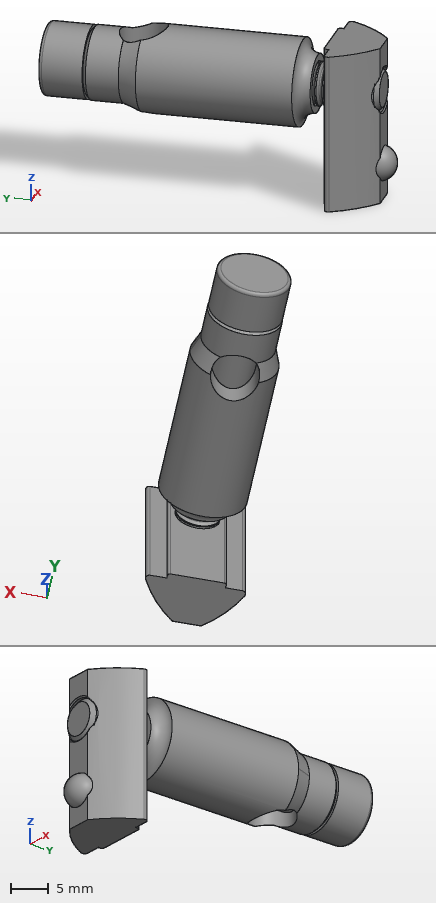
import cadquery as cq
import math

length = 47.8
nut_face_y = 1.8
cross_hole_y = 34.6

screw_z = 4.45
shank_radius = 3.0
tip_chamfer = 0.6
head_radius = 5.0
head_height = 6.0
head_round = 0.5
head_seat_y = length - head_height

thread_pitch = 1.0
thread_crest = 0.2
thread_half_angle = 30.0
thread_root_round = 0.15
groove_count = 3
first_groove_y = 8.9

sleeve_radius = 6.0
sleeve_face_y = 12.85
neck_radius = 5.05
neck_chamfer = 0.5
neck_start_y = 36.8
cone_start_y = 34.2
collar_radius = 4.0
cross_hole_radius = 3.25

nut_width = 13.5
nut_height = 22.0
nut_depth = 7.2
rib_width = 7.95
rib_height = 0.7
rib_round = 0.35
wing_round = 0.53
wing_round_middle = 45.0
wing_round_end = 25.0
front_face_width = 3.85
flank_bulge = 0.45
countersink_radius = 3.2

ball_radius = 2.5
ball_z = -5.95


def turned(profile):
    """Revolve an (R, Y) profile about the screw axis."""
    return profile.close().revolve(360, (0, 0, 0), (0, 1, 0)).translate((0, 0, screw_z))


def thread_groove(y):
    """V-shaped ring with a rounded root that cuts one thread groove centred at y."""
    half_width = (thread_pitch - thread_crest) / 2
    angle = math.radians(thread_half_angle)
    sharp_root_radius = shank_radius - half_width / math.tan(angle)
    arc_centre_radius = sharp_root_radius + thread_root_round / math.sin(angle)
    tangent_radius = arc_centre_radius - thread_root_round * math.sin(angle)
    tangent_offset = thread_root_round * math.cos(angle)
    profile = (
        cq.Workplane("XY")
        .moveTo(shank_radius, y - half_width)
        .lineTo(tangent_radius, y - tangent_offset)
        .threePointArc((arc_centre_radius - thread_root_round, y), (tangent_radius, y + tangent_offset))
        .lineTo(shank_radius, y + half_width)
    )
    return turned(profile)


def make_screw():
    profile = (
        cq.Workplane("XY")
        .moveTo(0, nut_face_y)
        .lineTo(shank_radius - tip_chamfer, nut_face_y)
        .lineTo(shank_radius, nut_face_y + tip_chamfer)
        .lineTo(shank_radius, head_seat_y)
        .lineTo(head_radius, head_seat_y)
        .lineTo(head_radius, length)
        .lineTo(0, length)
    )
    body = turned(profile).faces(">Y").edges().fillet(head_round)
    for i in range(groove_count):
        body = body.cut(thread_groove(first_groove_y + i * thread_pitch))
    return body


def make_sleeve():
    flare_radius = sleeve_radius - collar_radius
    collar_end_y = sleeve_face_y - flare_radius
    flare_mid = flare_radius * math.sqrt(0.5)
    profile = (
        cq.Workplane("XY")
        .moveTo(shank_radius, collar_end_y)
        .lineTo(collar_radius, collar_end_y)
        .threePointArc(
            (sleeve_radius - flare_mid, collar_end_y + flare_mid),
            (sleeve_radius, sleeve_face_y),
        )
        .lineTo(sleeve_radius, cone_start_y)
        .lineTo(neck_radius, neck_start_y)
        .lineTo(neck_radius, head_seat_y - neck_chamfer)
        .lineTo(neck_radius - neck_chamfer, head_seat_y)
        .lineTo(shank_radius, head_seat_y)
    )
    cross_hole = (
        cq.Workplane("XY")
        .center(0, cross_hole_y)
        .circle(cross_hole_radius)
        .extrude(sleeve_radius, both=True)
        .translate((0, 0, screw_z))
    )
    return turned(profile).cut(cross_hole)


def nut_blank():
    """Extruded nut section, built as a right half and its mirror image."""
    back_y = nut_face_y + nut_depth
    wing_y = back_y - rib_height
    round_x = nut_width / 2 - wing_round
    round_y = wing_y - wing_round

    def wing_point(degrees):
        angle = math.radians(degrees)
        return (round_x + wing_round * math.cos(angle), round_y + wing_round * math.sin(angle))

    flank_start = wing_point(-wing_round_end)
    half = (
        cq.Workplane("XY")
        .moveTo(0, back_y)
        .lineTo(rib_width / 2, back_y)
        .lineTo(rib_width / 2, wing_y)
        .lineTo(round_x, wing_y)
        .threePointArc(wing_point(wing_round_middle), flank_start)
        .sagittaArc((front_face_width / 2, nut_face_y), flank_bulge)
        .lineTo(0, nut_face_y)
        .close()
        .extrude(nut_height / 2, both=True)
    )
    blank = half.union(half.mirror("YZ"), clean=True)
    return blank.faces(">Y").edges("|Z").fillet(rib_round)


def make_ball():
    return cq.Workplane("XY").sphere(ball_radius).translate((0, ball_radius, ball_z))


def make_nut():
    countersink_depth = countersink_radius - shank_radius
    screw_hole = turned(
        cq.Workplane("XY")
        .moveTo(0, nut_face_y)
        .lineTo(countersink_radius, nut_face_y)
        .lineTo(shank_radius, nut_face_y + countersink_depth)
        .lineTo(shank_radius, nut_face_y + nut_depth)
        .lineTo(0, nut_face_y + nut_depth)
    )
    return nut_blank().cut(screw_hole).cut(make_ball())


screw = make_screw()
sleeve = make_sleeve()
nut = make_nut()
ball = make_ball()

result = cq.Compound.makeCompound([screw.val(), sleeve.val(), nut.val(), ball.val()])